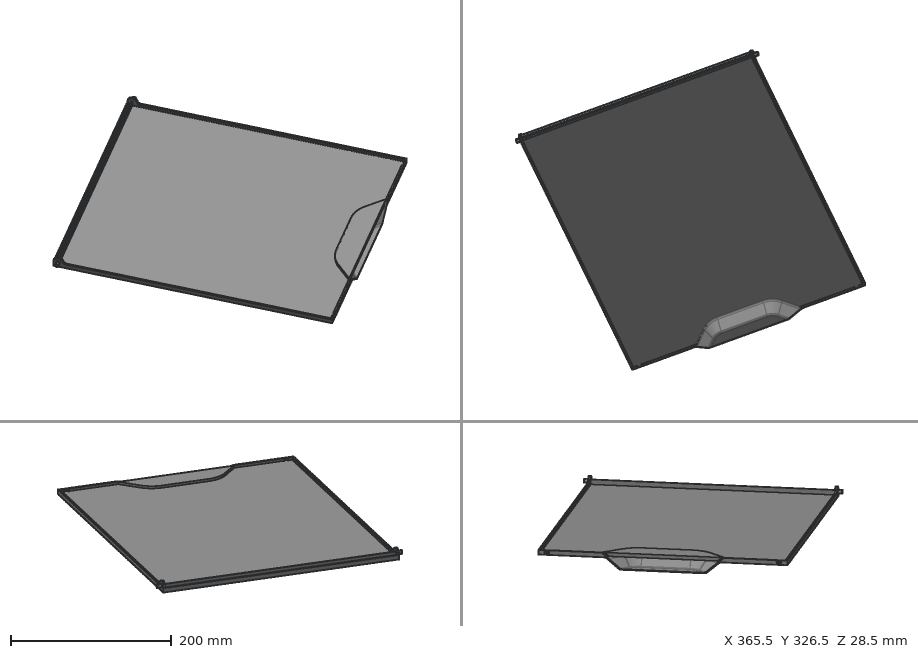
import cadquery as cq
import math


total_length = 365.5
total_width = 326.5
total_height = 28.5

tab_reach = 1.5
pin_length = 6.0
frame_length = total_length - tab_reach
frame_width = total_width - 2 * pin_length
rim_height = 6.0
rim_width = 2.5
floor_thickness = 1.0

ear_radius = 6.5
ear_top = 13.5
ear_blend_radius = 3.5
pin_diameter = 5.0
pin_hole_diameter = 3.0
ear_x = ear_radius
ear_z = ear_top - ear_radius

cup_wall = floor_thickness
cup_slope = 40.0
cup_blend_radius = 3.5
cup_bottom = ear_top - total_height

panel_thickness = 1.5
lip_gap = 3.0
lip_top = 8.8
roof_start_x = 330.0
roof_half_width = 77.5
roof_corner_radius = 36.5
side_angle = math.radians(45.0)
roof_overlap = 0.7

tab_y = 147.0
tab_width = 6.0
tab_bottom = 4.5
tab_thickness = 1.0
tab_bevel = 0.7

inner_start_x = rim_width
inner_end_x = frame_length - rim_width
inner_width = frame_width - 2 * rim_width
panel_start_x = inner_start_x + lip_gap
panel_top = floor_thickness + panel_thickness
roof_start_half_width = roof_half_width - (inner_end_x - roof_start_x) * math.tan(side_angle)


def block(x_start, x_end, y_center, y_size, z_start, z_end):
    """Box between two X and two Z positions, centred on y_center."""
    return (
        cq.Workplane("XY", origin=(x_start, y_center, z_start))
        .box(x_end - x_start, y_size, z_end - z_start, centered=(False, True, False))
    )


def trapezoid_prism(growth, depth, taper=0.0):
    """Solid reaching down from rim height, with the roof's outline moved outward by growth.

    The outline has a straight hinge-side edge, rounded corners and 45 degree sides.  It runs past the
    free edge far enough that its tapered end never reaches the frame.
    """
    start_x = roof_start_x - growth
    end_x = frame_length + 2 * depth
    start_half = roof_start_half_width + growth * math.tan(side_angle / 2)
    end_half = start_half + (end_x - start_x) * math.tan(side_angle)
    outline = (
        cq.Sketch()
        .polygon([
            (start_x, -start_half),
            (start_x, start_half),
            (end_x, end_half),
            (end_x, -end_half),
            (start_x, -start_half),
        ])
        .vertices("<X")
        .fillet(roof_corner_radius + growth)
    )
    return cq.Workplane("XY", origin=(0, 0, rim_height)).placeSketch(outline).extrude(-depth, taper=taper)


def tapered_cup(bottom_z, growth, bottom_radius):
    """Solid that narrows from rim height to a rounded bottom edge at bottom_z."""
    cup = trapezoid_prism(growth, rim_height - bottom_z, cup_slope)
    return cup.faces("<Z").edges().fillet(bottom_radius)


def make_ear(side):
    """Round hinge ear on the frame's side wall, blended into the rim, with its bored pin pointing outward."""
    outer_y = side * frame_width / 2
    blend_z = rim_height + ear_blend_radius
    center_distance = ear_radius + ear_blend_radius
    blend_dx = math.sqrt(center_distance**2 - (blend_z - ear_z) ** 2)
    blend_x = ear_x + blend_dx
    touch_x = ear_x + blend_dx * ear_radius / center_distance
    touch_z = ear_z + (blend_z - ear_z) * ear_radius / center_distance
    blend_mid = ear_blend_radius * math.sqrt(0.5)
    ear = (
        cq.Workplane("XZ", origin=(0, outer_y, 0))
        .lineTo(0, ear_z)
        .threePointArc((ear_x, ear_top), (touch_x, touch_z))
        .threePointArc((blend_x - blend_mid, blend_z - blend_mid), (blend_x, rim_height))
        .lineTo(blend_x, 0)
        .close()
        .extrude(side * rim_width)
    )
    pin = (
        cq.Workplane("XZ", origin=(ear_x, outer_y, ear_z))
        .circle(pin_diameter / 2)
        .circle(pin_hole_diameter / 2)
        .extrude(-side * pin_length)
    )
    return ear.union(pin)


def make_tab(side):
    """Snap tab: a tongue through a notch in the free rim, an upright, and a bevelled nose at its top."""
    upright_x = frame_length - tab_thickness
    return (
        cq.Workplane("XZ", origin=(0, side * tab_y + tab_width / 2, 0))
        .polyline([
            (inner_end_x, floor_thickness),
            (frame_length, floor_thickness),
            (frame_length, tab_bottom),
            (total_length, tab_bottom),
            (total_length, rim_height - tab_bevel),
            (frame_length, rim_height),
            (upright_x, rim_height),
            (upright_x, panel_top),
            (inner_end_x, panel_top),
        ])
        .close()
        .extrude(tab_width)
    )


def make_frame():
    frame = block(0, frame_length, 0, frame_width, 0, rim_height)

    wall_offset = cup_wall / math.cos(math.radians(cup_slope))
    cup_shell = tapered_cup(cup_bottom, -roof_overlap, cup_blend_radius)
    below_frame = block(0, frame_length, 0, frame_width, cup_bottom, rim_height)
    frame = frame.union(cup_shell.intersect(below_frame))
    cup_mouth = cq.selectors.BoxSelector(
        (inner_start_x, -inner_width / 2, -floor_thickness),
        (frame_length - floor_thickness, inner_width / 2, floor_thickness),
    )
    frame = frame.edges(cup_mouth).fillet(cup_blend_radius)

    frame = frame.cut(block(inner_start_x, inner_end_x, 0, inner_width, floor_thickness, rim_height))
    cup_hollow = tapered_cup(cup_bottom + cup_wall, -roof_overlap - wall_offset, cup_blend_radius - cup_wall)
    frame = frame.cut(cup_hollow)

    for side in (-1, 1):
        frame = frame.union(make_ear(side))
        notch = block(inner_end_x, frame_length, side * tab_y, tab_width, floor_thickness, rim_height)
        frame = frame.cut(notch)
    return frame.clean()


def make_panel():
    panel = block(panel_start_x, inner_end_x, 0, inner_width, floor_thickness, panel_top)

    lip_end_x = panel_start_x + panel_thickness
    panel = panel.union(block(panel_start_x, lip_end_x, 0, inner_width, floor_thickness, lip_top))

    roof = trapezoid_prism(0, rim_height - floor_thickness)
    tray_space = block(panel_start_x, inner_end_x, 0, inner_width, floor_thickness, rim_height)
    panel = panel.union(roof.intersect(tray_space))

    for side in (-1, 1):
        panel = panel.union(make_tab(side))
    return panel.clean()


frame = make_frame()
panel = make_panel()
result = cq.Compound.makeCompound([frame.val(), panel.val()])